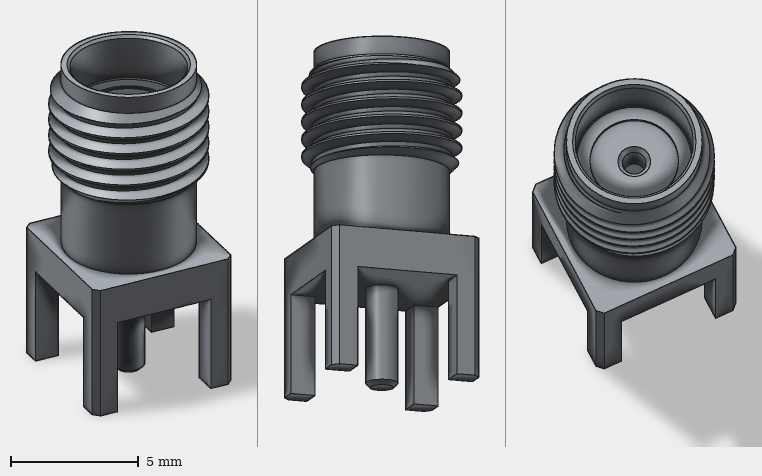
import cadquery as cq
import math

total_height = 13.5
deck_top = 5.6
deck_underside = 3.98
thread_bottom = 8.71
thread_top = 12.78

base_width = 6.09
leg_width = 1.0
base_corner_chamfer = 0.24

barrel_diameter = 5.3
bore_diameter = 4.6
bore_depth = 1.92
mouth_chamfer = 0.11
floor_chamfer = 0.05
insulator_diameter = 3.45
insulator_recess = 0.12

contact_diameter = 1.27
contact_chamfer = 0.18
contact_hole_depth = 1.35

thread_diameter = 6.26
thread_root_diameter = 5.5
thread_pitch = 0.7
thread_crest_width = 0.08
flank_angle = 30.0
first_groove_height = 8.46
groove_turns = 7
cutter_overrun = 0.04


def make_base():
    """Square deck with a leg left at each corner by two crossing channels."""
    base = cq.Workplane("XY").rect(base_width, base_width).extrude(deck_top)
    base = base.edges("|Z").chamfer(base_corner_chamfer)
    gap = base_width - 2 * leg_width
    for length_x, length_y in ((base_width, gap), (gap, base_width)):
        channel = cq.Workplane("XY").rect(length_x, length_y).extrude(deck_underside)
        base = base.cut(channel)
    return base


def make_thread():
    """Ring with 45 degree ends, cut by a right-hand helical V groove, one turn at a time."""
    barrel_radius = barrel_diameter / 2
    crest_radius = thread_diameter / 2
    root_radius = thread_root_diameter / 2
    end_chamfer = crest_radius - barrel_radius
    ring = (
        cq.Workplane("XZ")
        .moveTo(bore_diameter / 2, thread_bottom)
        .lineTo(barrel_radius, thread_bottom)
        .lineTo(crest_radius, thread_bottom + end_chamfer)
        .lineTo(crest_radius, thread_top - end_chamfer)
        .lineTo(barrel_radius, thread_top)
        .lineTo(bore_diameter / 2, thread_top)
        .close()
        .revolve(360, (0, 0, 0), (0, 1, 0))
    )
    flank_slope = math.tan(math.radians(flank_angle))
    crest_half_gap = (thread_pitch - thread_crest_width) / 2
    root_half_gap = crest_half_gap - (crest_radius - root_radius) * flank_slope
    outer_half_gap = crest_half_gap + cutter_overrun * flank_slope
    outer_radius = crest_radius + cutter_overrun
    helix = cq.Wire.makeHelix(pitch=thread_pitch, height=thread_pitch, radius=root_radius)
    groove_turn = (
        cq.Workplane("XZ")
        .moveTo(root_radius, -root_half_gap)
        .lineTo(outer_radius, -outer_half_gap)
        .lineTo(outer_radius, outer_half_gap)
        .lineTo(root_radius, root_half_gap)
        .close()
        .sweep(cq.Workplane(obj=helix), isFrenet=True)
        .rotate((0, 0, 0), (0, 0, 1), 180)
        .translate((0, 0, first_groove_height))
    )
    for turn in range(groove_turns):
        ring = ring.cut(groove_turn.translate((0, 0, turn * thread_pitch)))
    return ring


def make_barrel():
    """Barrel with a chamfered bore, bevelled bore floor and recessed insulator face."""
    barrel_radius = barrel_diameter / 2
    bore_radius = bore_diameter / 2
    insulator_radius = insulator_diameter / 2
    floor = total_height - bore_depth
    insulator_face = floor - insulator_recess
    return (
        cq.Workplane("XZ")
        .moveTo(0, deck_top)
        .lineTo(barrel_radius, deck_top)
        .lineTo(barrel_radius, total_height)
        .lineTo(bore_radius + mouth_chamfer, total_height)
        .lineTo(bore_radius, total_height - mouth_chamfer)
        .lineTo(bore_radius, floor + floor_chamfer)
        .lineTo(bore_radius - floor_chamfer, floor)
        .lineTo(insulator_radius, floor)
        .lineTo(insulator_radius, insulator_face)
        .lineTo(0, insulator_face)
        .close()
        .revolve(360, (0, 0, 0), (0, 1, 0))
    )


def make_pin():
    """Solder pin between the legs, chamfered at its lower tip."""
    pin = cq.Workplane("XY").circle(contact_diameter / 2).extrude(deck_top)
    return pin.faces("<Z").chamfer(contact_chamfer)


def make_contact_hole():
    """Blind hole with a conical lead-in, sunk into the insulator face."""
    insulator_face = total_height - bore_depth - insulator_recess
    mouth_radius = contact_diameter / 2
    hole_radius = mouth_radius - contact_chamfer
    return (
        cq.Workplane("XZ")
        .moveTo(0, insulator_face)
        .lineTo(mouth_radius, insulator_face)
        .lineTo(hole_radius, insulator_face - contact_chamfer)
        .lineTo(hole_radius, insulator_face - contact_hole_depth)
        .lineTo(0, insulator_face - contact_hole_depth)
        .close()
        .revolve(360, (0, 0, 0), (0, 1, 0))
    )


body = make_base().union(make_barrel()).union(make_thread()).union(make_pin())
result = body.cut(make_contact_hole())